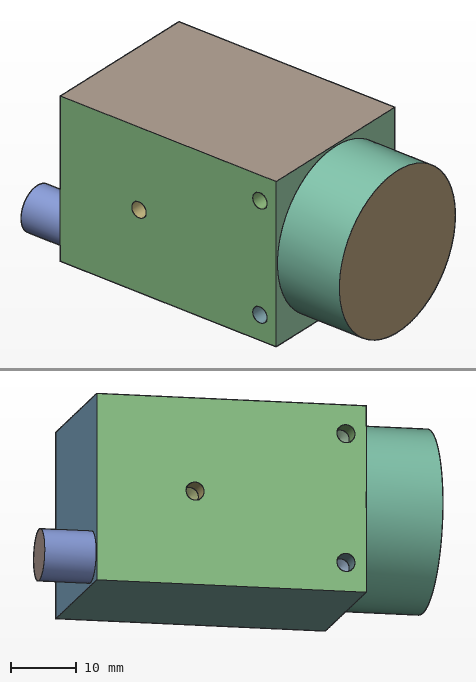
import cadquery as cq
import math

total_length = 62.0
stub_length = 8.0
barrel_length = 12.0
body_length = total_length - stub_length - barrel_length

body_side = 29.0
barrel_diameter = 28.4
stub_diameter = 8.0
stub_edge_distance = 4.45

hole_diameter = 2.8
hole_depth = 4.0
drill_point_angle = 118.0
hole_pair_spacing = 20.0
hole_pair_setback = 3.15
single_hole_offset = 23.5

front_x = body_length / 2
rear_x = -front_x
side_y = -body_side / 2


def mounting_hole(x, z):
    """Drilled-hole cutter entering the -Y face at (x, z)."""
    radius = hole_diameter / 2
    tip_depth = hole_depth + radius / math.tan(math.radians(drill_point_angle / 2))
    profile = (
        cq.Workplane("XY")
        .moveTo(0, 0)
        .lineTo(radius, 0)
        .lineTo(radius, hole_depth)
        .lineTo(0, tip_depth)
        .close()
    )
    cutter = profile.revolve(360, (0, 0), (0, 1))
    return cutter.translate((x, side_y, z))


body = cq.Workplane("XY").box(body_length, body_side, body_side)

barrel = (
    cq.Workplane("YZ", origin=(front_x, 0, 0))
    .circle(barrel_diameter / 2)
    .extrude(barrel_length)
)

stub_centre = -body_side / 2 + stub_edge_distance
stub = (
    cq.Workplane("YZ", origin=(rear_x, stub_centre, stub_centre))
    .circle(stub_diameter / 2)
    .extrude(-stub_length)
)

result = body.union(barrel).union(stub)

pair_x = front_x - hole_pair_setback
hole_places = [
    (pair_x, hole_pair_spacing / 2),
    (pair_x, -hole_pair_spacing / 2),
    (pair_x - single_hole_offset, 0),
]
for x, z in hole_places:
    result = result.cut(mounting_hole(x, z))